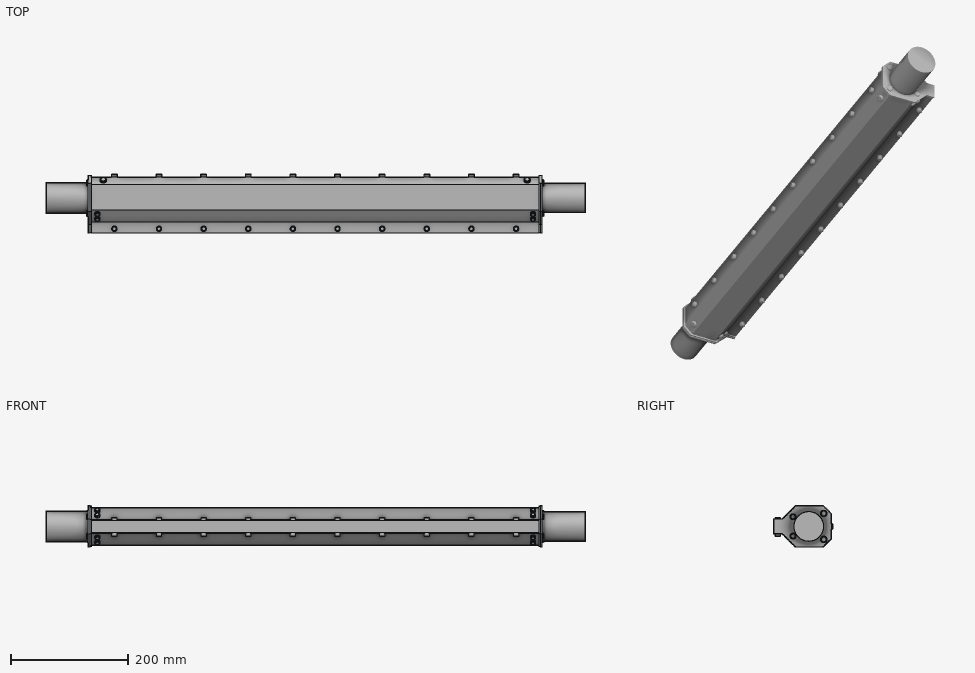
import cadquery as cq
import math

TOTAL_LENGTH = 919.0
LEFT_STUB_LENGTH = 72.0
RIGHT_STUB_LENGTH = 73.5
LEFT_STUB_DIAMETER = 52.0
RIGHT_STUB_DIAMETER = 51.0
STUB_AXIS_Y = -0.7
PLATE_THICKNESS = 3.0
GASKET_THICKNESS = 3.0

HOUSING_LENGTH = TOTAL_LENGTH - LEFT_STUB_LENGTH - RIGHT_STUB_LENGTH
HOUSING_START = -HOUSING_LENGTH / 2
HOUSING_END = HOUSING_LENGTH / 2

NOSE_FRONT = -61.0
PLATE_BACK = 38.0
PLATE_HEIGHT = 71.0
PLATE_HALF_HEIGHT = PLATE_HEIGHT / 2
PLATE_NOSE_HALF_HEIGHT = 13.0
PLATE_BACK_CHAMFER = 14.0
PLATE_NOSE_ROOT = -46.0

GASKET_INSET = 1.0

BODY_BACK = 35.0
BODY_HALF_HEIGHT = 32.0
BODY_NOSE_HALF_HEIGHT = 10.0
BODY_BACK_CHAMFER = 13.0
BODY_NOSE_ROOT = -41.0
BODY_NOSE_STEP = 2.0

SEAM_SCREW_COUNT = 10
SEAM_SCREW_SPAN = 685.0
SEAM_SCREW_PITCH = SEAM_SCREW_SPAN / (SEAM_SCREW_COUNT - 1)
NOSE_SCREW_Y = -53.0
NOSE_SCREW_DIAMETER = 9.0
NOSE_TOP_SCREW_HEIGHT = 5.5
NOSE_BOTTOM_SCREW_HEIGHT = 7.0
BACK_SCREW_DIAMETER = 10.0
BACK_SCREW_HEIGHT = 5.5

PLATE_SCREWS = [(25.0, 22.0, 11.0), (-28.0, 17.0, 10.0)]
PLATE_SCREW_HEIGHT = 3.0

FRONT_SLOPE_SCREW_DIAMETER = 9.0
BACK_SLOPE_SCREW_DIAMETER = 11.0
SLOPE_SCREW_HEIGHT = 4.0
FRONT_SLOPE_SCREW_INSET = 16.0
FRONT_SLOPE_SCREW_SPACING = 12.0
BACK_SLOPE_SCREW_INSET = 26.0

HEAD_CHAMFER = 1.4
EMBED = 2.0


def section(nose_front, back, half_height, nose_half_height, back_chamfer, nose_root, nose_step=0):
    """Outline in (Y, Z), symmetric about Z = 0, with 45 degree slopes and a flat nose."""
    slope = half_height - nose_half_height - nose_step
    upper = [
        (nose_front, nose_half_height),
        (nose_root, nose_half_height),
        (nose_root + slope, half_height),
        (back - back_chamfer, half_height),
        (back, half_height - back_chamfer),
    ]
    if nose_step:
        upper.insert(2, (nose_root, nose_half_height + nose_step))
    lower = [(y, -z) for y, z in reversed(upper)]
    return upper + lower


def prism(points, start, length):
    return cq.Workplane("YZ", origin=(start, 0, 0)).polyline(points).close().extrude(length)


def head(position, direction, diameter, height):
    """Round screw head standing on a face point, sunk slightly into it."""
    axis = cq.Vector(*direction).normalized()
    base = cq.Vector(*position) - axis * EMBED
    plane = cq.Plane(origin=base, normal=axis)
    cylinder = cq.Workplane(plane).circle(diameter / 2).extrude(height + EMBED)
    outer_edge = cq.selectors.DirectionMinMaxSelector(axis)
    return cylinder.faces(outer_edge).chamfer(HEAD_CHAMFER)


body_outline = section(
    NOSE_FRONT,
    BODY_BACK,
    BODY_HALF_HEIGHT,
    BODY_NOSE_HALF_HEIGHT,
    BODY_BACK_CHAMFER,
    BODY_NOSE_ROOT,
    BODY_NOSE_STEP,
)
gasket_outline = section(
    NOSE_FRONT + GASKET_INSET,
    PLATE_BACK,
    PLATE_HALF_HEIGHT - GASKET_INSET,
    PLATE_NOSE_HALF_HEIGHT - GASKET_INSET,
    PLATE_BACK_CHAMFER - GASKET_INSET,
    PLATE_NOSE_ROOT,
)
plate_outline = section(
    NOSE_FRONT,
    PLATE_BACK,
    PLATE_HALF_HEIGHT,
    PLATE_NOSE_HALF_HEIGHT,
    PLATE_BACK_CHAMFER,
    PLATE_NOSE_ROOT,
)
end_cap_thickness = PLATE_THICKNESS + GASKET_THICKNESS
body = prism(body_outline, HOUSING_START + end_cap_thickness, HOUSING_LENGTH - 2 * end_cap_thickness)
for end in (-1, 1):
    body = body.union(prism(plate_outline, end * HOUSING_END, -end * PLATE_THICKNESS))
    gasket_start = end * (HOUSING_END - PLATE_THICKNESS)
    body = body.union(prism(gasket_outline, gasket_start, -end * GASKET_THICKNESS))

left_stub = cq.Workplane("YZ", origin=(HOUSING_START, STUB_AXIS_Y, 0)).circle(LEFT_STUB_DIAMETER / 2)
body = body.union(left_stub.extrude(-LEFT_STUB_LENGTH))
right_stub = cq.Workplane("YZ", origin=(HOUSING_END, STUB_AXIS_Y, 0)).circle(RIGHT_STUB_DIAMETER / 2)
body = body.union(right_stub.extrude(RIGHT_STUB_LENGTH))

heads = []

for i in range(SEAM_SCREW_COUNT):
    x = -SEAM_SCREW_SPAN / 2 + i * SEAM_SCREW_PITCH
    heads.append(head((x, BODY_BACK, 0), (0, 1, 0), BACK_SCREW_DIAMETER, BACK_SCREW_HEIGHT))
    for side, height in ((1, NOSE_TOP_SCREW_HEIGHT), (-1, NOSE_BOTTOM_SCREW_HEIGHT)):
        seat = (x, NOSE_SCREW_Y, side * BODY_NOSE_HALF_HEIGHT)
        heads.append(head(seat, (0, 0, side), NOSE_SCREW_DIAMETER, height))

front_slope_rise = BODY_HALF_HEIGHT - BODY_NOSE_HALF_HEIGHT - BODY_NOSE_STEP
front_slope_y = BODY_NOSE_ROOT + front_slope_rise / 2
front_slope_z = BODY_HALF_HEIGHT - front_slope_rise / 2
back_slope_y = BODY_BACK - BODY_BACK_CHAMFER / 2
back_slope_z = BODY_HALF_HEIGHT - BODY_BACK_CHAMFER / 2
front_slope_shift = FRONT_SLOPE_SCREW_SPACING / 2 * math.cos(math.radians(45))

for end in (-1, 1):
    for side in (1, -1):
        for y, z, diameter in PLATE_SCREWS:
            seat = (end * HOUSING_END, y, side * z)
            heads.append(head(seat, (end, 0, 0), diameter, PLATE_SCREW_HEIGHT))
        x = end * (HOUSING_END - FRONT_SLOPE_SCREW_INSET)
        for shift in (front_slope_shift, -front_slope_shift):
            seat = (x, front_slope_y + shift, side * (front_slope_z + shift))
            heads.append(head(seat, (0, -1, side), FRONT_SLOPE_SCREW_DIAMETER, SLOPE_SCREW_HEIGHT))
        x = end * (HOUSING_END - BACK_SLOPE_SCREW_INSET)
        seat = (x, back_slope_y, side * back_slope_z)
        heads.append(head(seat, (0, 1, side), BACK_SLOPE_SCREW_DIAMETER, SLOPE_SCREW_HEIGHT))

for screw_head in heads:
    body = body.union(screw_head)

result = body